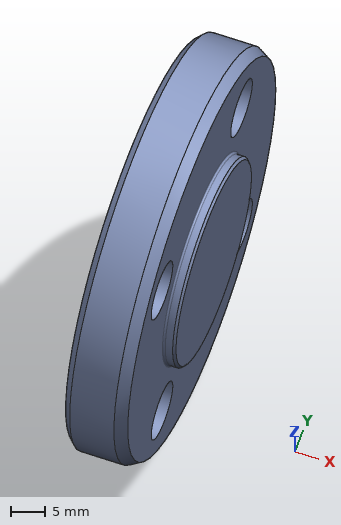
import cadquery as cq
import math

disc_diameter = 64.0
disc_thickness = 9.65
back_chamfer = 1.0
front_bevel_radial = 1.0
front_bevel_axial = front_bevel_radial * math.sqrt(3)

total_thickness = 11.5
boss_diameter = 32.3
boss_root_fillet = 0.3
boss_edge_chamfer = 0.4

hole_diameter = 9.0
hole_spacing = 33.3

disc_radius = disc_diameter / 2
boss_radius = boss_diameter / 2


def flange_body():
    """Disc and boss, revolved from a half profile of (axial, radial) points."""
    root_mid_offset = boss_root_fillet * (1 - math.sqrt(0.5))
    profile = (
        cq.Workplane("XY")
        .moveTo(0, 0)
        .lineTo(0, disc_radius - back_chamfer)
        .lineTo(back_chamfer, disc_radius)
        .lineTo(disc_thickness - front_bevel_axial, disc_radius)
        .lineTo(disc_thickness, disc_radius - front_bevel_radial)
        .lineTo(disc_thickness, boss_radius + boss_root_fillet)
        .threePointArc(
            (disc_thickness + root_mid_offset, boss_radius + root_mid_offset),
            (disc_thickness + boss_root_fillet, boss_radius),
        )
        .lineTo(total_thickness - boss_edge_chamfer, boss_radius)
        .lineTo(total_thickness, boss_radius - boss_edge_chamfer)
        .lineTo(total_thickness, 0)
        .close()
    )
    return profile.revolve(360, (0, 0, 0), (1, 0, 0))


def bolt_holes():
    """Cylinders along X that cut through the disc."""
    return (
        cq.Workplane("YZ")
        .rarray(hole_spacing, hole_spacing, 2, 2)
        .circle(hole_diameter / 2)
        .extrude(total_thickness)
    )


result = flange_body().cut(bolt_holes())